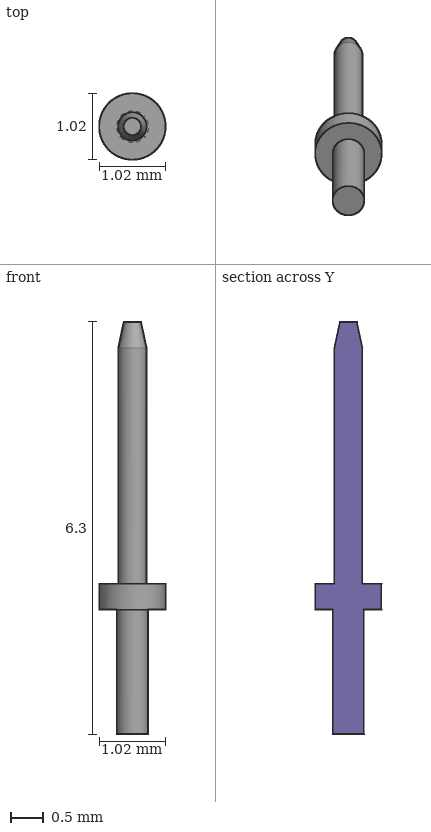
import cadquery as cq

total_length = 6.3

tail_diameter = 0.485
tail_length = 1.9

collar_diameter = 1.02
collar_thickness = 0.4

pin_diameter = 0.435
tip_diameter = 0.265
tip_length = 0.4
pin_length = total_length - tail_length - collar_thickness - tip_length

tail = cq.Workplane("XY").circle(tail_diameter / 2).extrude(tail_length)
collar = tail.faces(">Z").workplane().circle(collar_diameter / 2).extrude(collar_thickness)
pin = collar.faces(">Z").workplane().circle(pin_diameter / 2).extrude(pin_length)

result = (
    pin.faces(">Z")
    .workplane()
    .circle(pin_diameter / 2)
    .workplane(offset=tip_length)
    .circle(tip_diameter / 2)
    .loft(combine=True)
)